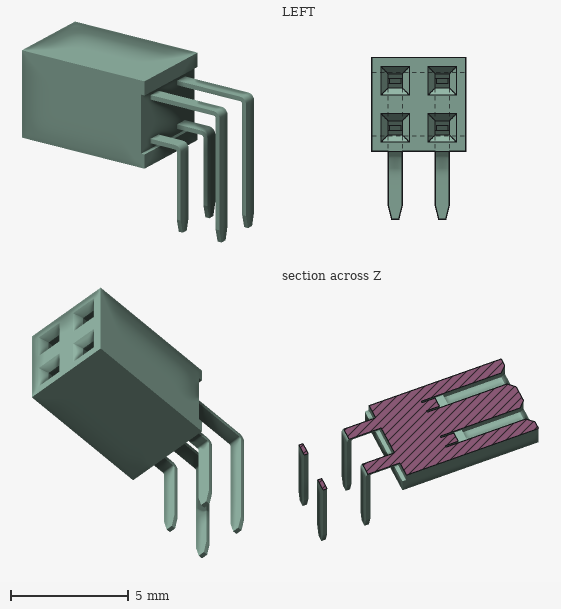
import cadquery as cq
import math


body_length = 6.33
body_width = 4.0
body_height = 4.0
rib_height = 0.65
rear_recess = 0.175

pitch = 2.0
columns = (-pitch / 2, pitch / 2)
rows = (body_height / 2 - pitch / 2, body_height / 2 + pitch / 2)

mouth_size = 1.21
bore_size = 0.6
mouth_depth = (mouth_size - bore_size) / 2
bore_depth = 4.0
ledge_depth = 3.0
contact_width = 0.5
contact_length = 0.6

overall_length = 9.72
lead_end_z = -2.9
lead_width = 0.6
lead_thickness = 0.2
bend_inner_radius = 0.1
bend_outer_radius = bend_inner_radius + lead_thickness
tip_length = 0.6
tip_width = 0.3
lead_start_x = body_length - rear_recess - lead_thickness


def box(x_start, x_end, y_centre, width, z_start, z_end):
    """Block given by its X and Z limits and its centre and width along Y."""
    size = (x_end - x_start, width, z_end - z_start)
    corner = (x_start, y_centre - width / 2, z_start)
    return cq.Workplane("XY").box(*size, centered=False).translate(corner)


def make_housing():
    block = box(0, body_length, 0, body_width, 0, body_height)
    channel = box(
        body_length - rear_recess, body_length, 0, body_width, rib_height, body_height - rib_height
    )
    return block.cut(channel)


def make_socket(y, z):
    """Cavity of one socket, with the contact blade left standing on its floor."""
    mouth = (
        cq.Workplane("YZ", origin=(0, y, z))
        .rect(mouth_size, mouth_size)
        .workplane(offset=mouth_depth)
        .rect(bore_size, bore_size)
        .loft(ruled=True)
    )
    bore = box(mouth_depth, bore_depth, y, bore_size, z - bore_size / 2, z + bore_size / 2)

    outward = math.copysign(1, z - body_height / 2)
    ledge_limits = sorted((z + outward * lead_thickness / 2, z + outward * bore_size / 2))
    ledge = box(ledge_depth, bore_depth, y, bore_size, *ledge_limits)
    contact = box(
        bore_depth - contact_length,
        bore_depth,
        y,
        contact_width,
        z - lead_thickness / 2,
        z + lead_thickness / 2,
    )
    return mouth.union(bore).cut(ledge).cut(contact)


def make_lead(y, z, outer_x):
    """Flat lead that leaves the housing at height z and bends down at outer_x."""
    top = z + lead_thickness / 2
    underside = z - lead_thickness / 2
    inner_x = outer_x - lead_thickness
    bend_x = outer_x - bend_outer_radius
    bend_z = top - bend_outer_radius
    diagonal = math.sqrt(0.5)
    strip = (
        cq.Workplane("XZ", origin=(0, y, 0))
        .moveTo(lead_start_x, top)
        .lineTo(bend_x, top)
        .threePointArc(
            (bend_x + bend_outer_radius * diagonal, bend_z + bend_outer_radius * diagonal),
            (outer_x, bend_z),
        )
        .lineTo(outer_x, lead_end_z)
        .lineTo(inner_x, lead_end_z)
        .lineTo(inner_x, bend_z)
        .threePointArc(
            (bend_x + bend_inner_radius * diagonal, bend_z + bend_inner_radius * diagonal),
            (bend_x, underside),
        )
        .lineTo(lead_start_x, underside)
        .close()
        .extrude(lead_width / 2, both=True)
    )

    outline = (
        cq.Workplane("YZ", origin=(lead_start_x, y, 0))
        .moveTo(-lead_width / 2, top)
        .lineTo(-lead_width / 2, lead_end_z + tip_length)
        .lineTo(-tip_width / 2, lead_end_z)
        .lineTo(tip_width / 2, lead_end_z)
        .lineTo(lead_width / 2, lead_end_z + tip_length)
        .lineTo(lead_width / 2, top)
        .close()
        .extrude(outer_x - lead_start_x)
    )
    return strip.intersect(outline)


result = make_housing()
for column_y in columns:
    for row_z in rows:
        lead_outer_x = overall_length - (rows[-1] - row_z)
        result = result.cut(make_socket(column_y, row_z))
        result = result.union(make_lead(column_y, row_z, lead_outer_x))